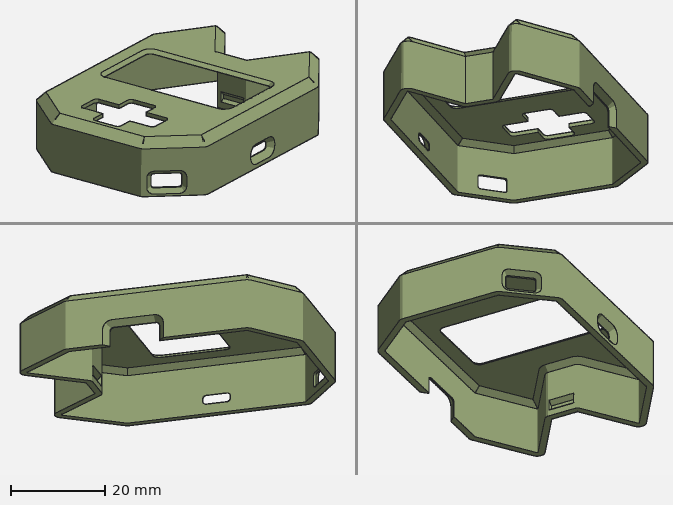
import cadquery as cq
import math

WIDTH = 44.5
LENGTH = 62.5
HEIGHT = 13.0
WALL = 1.5
TOP_THICKNESS = 0.9
BEVEL_ANGLE = 45
TOP_BEVEL = 2.0
CAVITY_BEVEL = 1.25
CORNER_RADIUS = 1.75

HALF_WIDTH = WIDTH / 2
BOTTOM_Y = -LENGTH / 2
BOTTOM_CORNER_X = 11.75
LOWER_SIDE_Y = -22.4
NOTCH_Y = 19.5
EAR_X = 12.25
EAR_HALF_ANGLE = math.radians(35)
EAR_TIP_Y = LENGTH / 2 + CORNER_RADIUS * (1 / math.sin(EAR_HALF_ANGLE) - 1)
UPPER_SIDE_Y = EAR_TIP_Y - (HALF_WIDTH - EAR_X) / math.tan(EAR_HALF_ANGLE)
NOTCH_HALF_WIDTH = EAR_X - (EAR_TIP_Y - NOTCH_Y) * math.tan(EAR_HALF_ANGLE)

SCREEN_WIDTH = 32.25
SCREEN_HEIGHT = 17.0
SCREEN_Y = 1.75
SCREEN_RADIUS = 1.4
SCREEN_FLARE = 0.8

CROSS_Y = -21.1
CROSS_WIDTH = 19.1
CROSS_HEIGHT = 14.0
CROSS_BAR_HEIGHT = 5.9
CROSS_POST_WIDTH = 7.0
CROSS_RADIUS = 0.9

PORT_LENGTH = 11.0
PORT_TOP_Z = 4.25
PORT_Y = 3.2
PORT_FLARE = 1.25
PORT_RADIUS = 0.9
SLOT_LENGTH = 6.1
SLOT_HEIGHT = 2.0
SLOT_Y = -1.95
SLOT_Z = 3.25
SLOT_FLARE = 1.3
SLOT_RADIUS = 0.8
WINDOW_LENGTH = 6.5
WINDOW_HEIGHT = 3.25
WINDOW_X = 15.8
WINDOW_Z = 3.2
WINDOW_FLARE = 1.0
WINDOW_RADIUS = 0.55

POCKET_LENGTH = 5.9
POCKET_DEPTH = 0.95
POCKET_FLOOR_Z = 1.5
POCKET_FLOOR_RISE = 0.5
POCKET_TOP_Z = 3.9

CUT_MARGIN = 0.6


def outline_corners():
    """Sharp corners, anticlockwise from the bottom on the +X side."""
    right = [
        (BOTTOM_CORNER_X, BOTTOM_Y),
        (HALF_WIDTH, LOWER_SIDE_Y),
        (HALF_WIDTH, UPPER_SIDE_Y),
        (EAR_X, EAR_TIP_Y),
        (NOTCH_HALF_WIDTH, NOTCH_Y),
    ]
    left = [(-x, y) for x, y in reversed(right)]
    return right + left


def sharp_prism():
    return cq.Workplane("XY").polyline(outline_corners()).close().extrude(HEIGHT)


def outline():
    """Closed outline with only its outward corners rounded."""
    outward = sharp_prism().edges("|Z").filter(
        lambda edge: abs(edge.Center().x) > 2 * NOTCH_HALF_WIDTH
    )
    rounded = outward.fillet(CORNER_RADIUS)
    return rounded.faces("<Z").wires().val()


def bevelled_prism(wire, height, bevel):
    """Prism on the base plane whose top edge slopes inward at the bevel angle."""
    shoulder = height - bevel
    lower = cq.Workplane("XY").add(wire).toPending().extrude(shoulder)
    upper = (
        cq.Workplane("XY")
        .add(wire.moved(cq.Location((0, 0, shoulder))))
        .toPending()
        .extrude(bevel, taper=BEVEL_ANGLE)
    )
    return lower.union(upper)


def flared_opening(plane, length, height, radius, flare):
    """Rounded opening through a wall; the plane lies on its outer face and points inward."""
    mouth = (
        cq.Workplane(plane)
        .sketch()
        .rect(length + 2 * flare, height + 2 * flare)
        .vertices()
        .fillet(radius + flare)
        .finalize()
        .extrude(flare, taper=BEVEL_ANGLE)
    )
    throat = (
        cq.Workplane(plane)
        .sketch()
        .rect(length, height)
        .vertices()
        .fillet(radius)
        .finalize()
        .extrude(WALL + CUT_MARGIN)
    )
    return mouth.union(throat)


def screen_opening():
    """Rectangular opening in the top, widening upwards."""
    plane = cq.Plane((0, SCREEN_Y, HEIGHT), (1, 0, 0), (0, 0, -1))
    return flared_opening(plane, SCREEN_WIDTH, SCREEN_HEIGHT, SCREEN_RADIUS, SCREEN_FLARE)


def button_cross():
    """Two crossing bars whose outer corners are rounded."""

    def bar(width, height):
        blank = cq.Workplane("XY").box(width, height, HEIGHT).edges("|Z").fillet(CROSS_RADIUS)
        return blank.translate((0, CROSS_Y, HEIGHT))

    return bar(CROSS_WIDTH, CROSS_BAR_HEIGHT).union(bar(CROSS_POST_WIDTH, CROSS_HEIGHT))


def port_opening():
    """Opening in the -X wall, centred on the base plane so that it runs out of the rim."""
    plane = cq.Plane((-HALF_WIDTH, PORT_Y, 0), (0, 1, 0), (1, 0, 0))
    return flared_opening(plane, PORT_LENGTH, 2 * PORT_TOP_Z, PORT_RADIUS, PORT_FLARE)


def slot_opening():
    """Opening in the +X wall."""
    plane = cq.Plane((HALF_WIDTH, SLOT_Y, SLOT_Z), (0, 1, 0), (-1, 0, 0))
    return flared_opening(plane, SLOT_LENGTH, SLOT_HEIGHT, SLOT_RADIUS, SLOT_FLARE)


def window_opening():
    """Opening in the slanted wall between the bottom and the +X side."""
    run = HALF_WIDTH - BOTTOM_CORNER_X
    rise = LOWER_SIDE_Y - BOTTOM_Y
    window_y = BOTTOM_Y + (WINDOW_X - BOTTOM_CORNER_X) * rise / run
    plane = cq.Plane((WINDOW_X, window_y, WINDOW_Z), (run, rise, 0), (-rise, run, 0))
    return flared_opening(plane, WINDOW_LENGTH, WINDOW_HEIGHT, WINDOW_RADIUS, WINDOW_FLARE)


def catch_pocket():
    """Blind pocket in the inner face of the notch wall, with sloping floor and ceiling."""
    face_y = NOTCH_Y - WALL
    back_y = face_y + POCKET_DEPTH
    profile = [
        (face_y, POCKET_FLOOR_Z),
        (back_y, POCKET_FLOOR_Z + POCKET_FLOOR_RISE),
        (back_y, POCKET_TOP_Z - POCKET_DEPTH),
        (face_y, POCKET_TOP_Z),
    ]
    return cq.Workplane("YZ").polyline(profile).close().extrude(POCKET_LENGTH / 2, both=True)


outer_wire = outline()
cavity_wire = outer_wire.offset2D(-WALL)[0]

mitred_prism = sharp_prism().faces(">Z").chamfer(TOP_BEVEL)
body = bevelled_prism(outer_wire, HEIGHT, TOP_BEVEL).intersect(mitred_prism)
cavity = bevelled_prism(cavity_wire, HEIGHT - TOP_THICKNESS, CAVITY_BEVEL)

result = body.cut(cavity)
for cutter in (
    screen_opening(),
    button_cross(),
    port_opening(),
    slot_opening(),
    window_opening(),
    catch_pocket(),
):
    result = result.cut(cutter)